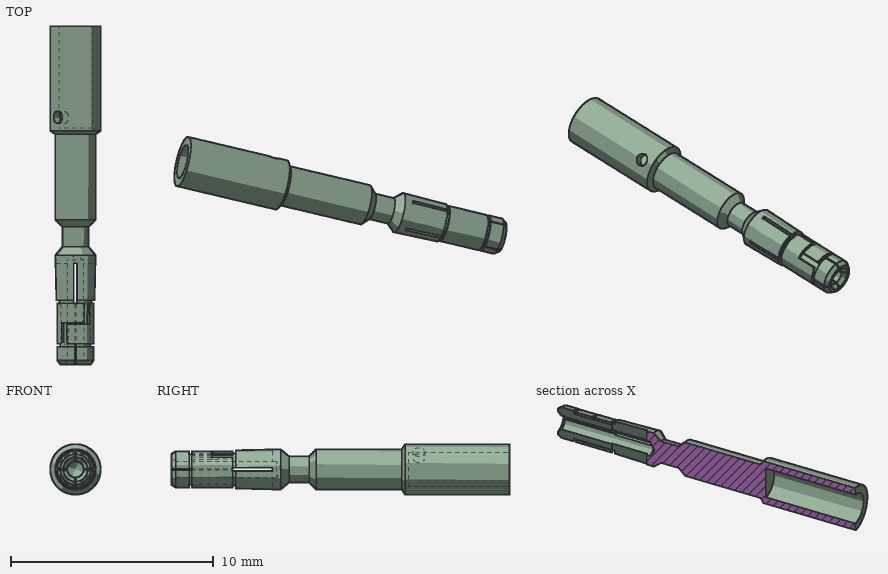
import cadquery as cq
import math

length = 16.7

barrel_radius = 1.25
shaft_radius = 1.0
neck_radius = 0.65
barrel_front = 11.37
barrel_chamfer_length = 0.17
shaft_front = 7.15
neck_back = 6.8
neck_front = 5.81

collar_back = 5.4
collar_front = 3.17
collar_front_radius = 0.95
core_back_radius = 0.8
core_front_radius = 0.75
head_back = 0.89
head_radius = 0.9
head_chamfer_length = 0.22
face_radius = 0.75

mouth_radius = 0.6
mouth_depth = 0.2
socket_radius = 0.4
socket_depth = 5.18
drill_tip_length = 0.23

wide_slot_width = 0.15
narrow_slot_width = 0.05
slot_back = 5.0

sleeve_radius = 0.9
sleeve_inner_radius = 0.73
sleeve_front = 1.02
sleeve_back = 3.02
seam_inner_angle = 28.0
seam_outer_angle = 49.0
seam_step_front = 1.99
seam_step_back = 2.07
flare = 0.08

wire_bore_radius = 0.84
wire_bore_front = 11.69
inspection_diameter = 0.6
inspection_station = 12.2
inspection_angle = 45.0


def revolve_profile(points):
    """Revolve a closed (radius, station) outline about the Y axis."""
    return cq.Workplane("XY").polyline(points).close().revolve(360, (0, 0), (0, 1))


def sector(start_angle, end_angle, front, back):
    """Wedge around Y; angles in degrees from +Z, positive towards +X."""
    reach = 2 * sleeve_radius

    def rim_point(angle):
        turn = math.radians(angle)
        return (reach * math.sin(turn), reach * math.cos(turn))

    middle_angle = (start_angle + end_angle) / 2
    return (
        cq.Workplane("XZ", origin=(0, front, 0))
        .moveTo(0, 0)
        .lineTo(*rim_point(start_angle))
        .threePointArc(rim_point(middle_angle), rim_point(end_angle))
        .close()
        .extrude(front - back)
    )


def make_body():
    return revolve_profile([
        (0, 0),
        (face_radius, 0),
        (head_radius, head_chamfer_length),
        (head_radius, head_back),
        (core_front_radius, head_back),
        (core_back_radius, collar_front),
        (collar_front_radius, collar_front),
        (shaft_radius, collar_back),
        (neck_radius, neck_front),
        (neck_radius, neck_back),
        (shaft_radius, shaft_front),
        (shaft_radius, barrel_front),
        (barrel_radius, barrel_front + barrel_chamfer_length),
        (barrel_radius, length),
        (0, length),
    ])


def make_socket():
    return revolve_profile([
        (0, 0),
        (mouth_radius, 0),
        (socket_radius, mouth_depth),
        (socket_radius, socket_depth),
        (0, socket_depth + drill_tip_length),
    ])


def make_slots():
    """Two crossed slots, narrow up to the sleeve's rear end and wide behind it."""
    span = 3 * shaft_radius
    slots = cq.Workplane("XY")
    for width, front, back in (
        (narrow_slot_width, 0, sleeve_back),
        (wide_slot_width, sleeve_back, slot_back),
    ):
        middle = (front + back) / 2
        for size_x, size_z in ((width, span), (span, width)):
            blade = cq.Workplane("XY").box(size_x, back - front, size_z)
            slots = slots.add(blade.translate((0, middle, 0)))
    return slots.combine()


def make_sleeve():
    sleeve = revolve_profile([
        (sleeve_inner_radius, sleeve_front),
        (sleeve_radius, sleeve_front),
        (sleeve_radius, sleeve_back),
        (sleeve_inner_radius, sleeve_back),
    ])
    sleeve = sleeve.cut(sector(-seam_outer_angle, -seam_inner_angle, sleeve_front, seam_step_back))
    sleeve = sleeve.cut(sector(-seam_outer_angle, seam_outer_angle, seam_step_front, seam_step_back))
    sleeve = sleeve.cut(sector(seam_inner_angle, seam_outer_angle, seam_step_front, sleeve_back))

    left = -sleeve_radius * math.sin(math.radians(seam_outer_angle))
    right = -sleeve_radius * math.sin(math.radians(seam_inner_angle))
    mouth = (
        cq.Workplane("XY")
        .polyline([
            (left - flare, sleeve_front),
            (right + flare, sleeve_front),
            (right, sleeve_front + flare),
            (left, sleeve_front + flare),
        ])
        .close()
        .extrude(sleeve_radius)
    )
    return sleeve.cut(mouth)


def make_wire_bore():
    return (
        cq.Workplane("XZ", origin=(0, wire_bore_front, 0))
        .circle(wire_bore_radius)
        .extrude(wire_bore_front - length)
    )


def make_inspection_hole():
    """Hole through one wall of the barrel, on the -X, +Z side."""
    return (
        cq.Workplane("XY")
        .circle(inspection_diameter / 2)
        .extrude(2 * barrel_radius)
        .rotate((0, 0, 0), (0, 1, 0), -inspection_angle)
        .translate((0, inspection_station, 0))
    )


body = make_body().cut(make_socket()).cut(make_slots())
body = body.union(make_sleeve())
body = body.cut(make_wire_bore()).cut(make_inspection_hole())
result = body.translate((0, -length / 2, 0))